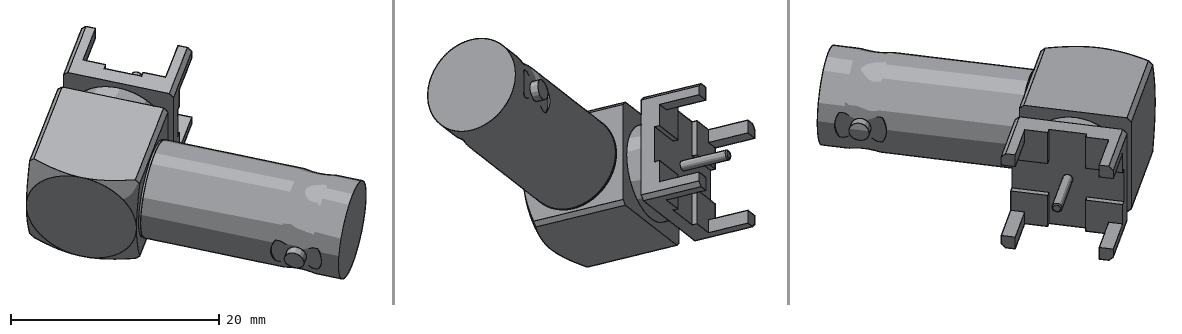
import cadquery as cq
import math


overall_length = 31
body_size = 11.0
corner_chamfer = 0.43
cone_angle = 30

barrel_radius = 4.85
relief_radius = 4.77
relief_length = 0.22

stud_from_end = 4.25
stud_diameter = 1.98
waist_length = 3.2
waist_depth = 0.15
pad_radius = 2.55
pad_height = 4.62

neck_diameter = 9.6
neck_length = 1.98
foot_length = 6.35
leg_gap = 8.25
plate_thickness = 2.0
groove_width = 3.72
groove_depth = 0.53

contact_diameter = 1.0
contact_chamfer = 0.12
contact_overhang = 0.22

half_body = body_size / 2
barrel_end = overall_length - half_body
stud_x = barrel_end - stud_from_end
foot_start = half_body + neck_length
foot_end = foot_start + foot_length


def square_bar(y_start, length):
    """Square bar along Y with its four long edges chamfered."""
    bar = cq.Workplane("XY").box(body_size, length, body_size, centered=(True, False, True))
    return bar.translate((0, y_start, 0)).edges("|Y").chamfer(corner_chamfer)


def rod_along_y(y_start, length, diameter):
    """Plain cylinder whose axis is parallel to Y."""
    rod = cq.Workplane("XZ").circle(diameter / 2).extrude(-length)
    return rod.translate((0, y_start, 0))


def elbow_body():
    """Cubic body whose front corners are turned to a cone, leaving a round front face."""
    cone_reach = half_body
    turned_length = cone_reach * math.tan(math.radians(cone_angle))
    envelope = (
        cq.Workplane("XY")
        .moveTo(0, -half_body)
        .lineTo(half_body, -half_body)
        .lineTo(half_body + cone_reach, -half_body + turned_length)
        .lineTo(half_body + cone_reach, half_body)
        .lineTo(0, half_body)
        .close()
        .revolve(360, (0, 0, 0), (0, 1, 0))
    )
    return square_bar(-half_body, body_size).intersect(envelope)


def barrel():
    """Turned barrel with a relief at the body and a shallow concave waist."""
    waist_start = stud_x - waist_length / 2
    waist_end = stud_x + waist_length / 2
    barrel_start = half_body + relief_length
    return (
        cq.Workplane("XY")
        .moveTo(0, 0)
        .lineTo(0, relief_radius)
        .lineTo(barrel_start, relief_radius)
        .lineTo(barrel_start, barrel_radius)
        .lineTo(waist_start, barrel_radius)
        .threePointArc((stud_x, barrel_radius - waist_depth), (waist_end, barrel_radius))
        .lineTo(barrel_end, barrel_radius)
        .lineTo(barrel_end, 0)
        .close()
        .revolve(360, (0, 0, 0), (1, 0, 0))
    )


def pad_cutters():
    """Material removed on both sides of the barrel to leave the round flat pads."""
    depth = half_body - pad_height
    near = rod_along_y(-half_body, depth, 2 * pad_radius)
    far = rod_along_y(pad_height, depth, 2 * pad_radius)
    return near.union(far).translate((stud_x, 0, 0))


def bayonet_studs():
    """Cross stud through the barrel, its ends rounded about the barrel axis."""
    stud = rod_along_y(-body_size, 2 * body_size, stud_diameter).translate((stud_x, 0, 0))
    rounding = cq.Workplane("YZ").circle(half_body).extrude(barrel_end)
    return stud.intersect(rounding)


def mounting_foot():
    """Square plate with four corner legs and a shallow groove each way across the plate."""
    foot = square_bar(foot_start, foot_length)
    leg_root = foot_start + plate_thickness
    for width, floor in ((leg_gap, leg_root), (groove_width, leg_root - groove_depth)):
        channel = cq.Workplane("XY").box(
            width, foot_end - floor, body_size, centered=(True, False, True)
        ).translate((0, floor, 0))
        foot = foot.cut(channel)
        foot = foot.cut(channel.rotate((0, 0, 0), (0, 1, 0), 90))
    return foot


def contact_pin():
    """Round contact pin from the plate to just past the legs, with a chamfered tip."""
    pin = rod_along_y(foot_start, foot_length + contact_overhang, contact_diameter)
    return pin.faces(">Y").edges().chamfer(contact_chamfer)


neck = rod_along_y(0, foot_start, neck_diameter)

result = (
    barrel()
    .cut(pad_cutters())
    .union(bayonet_studs())
    .union(elbow_body())
    .union(neck)
    .union(mounting_foot())
    .union(contact_pin())
)